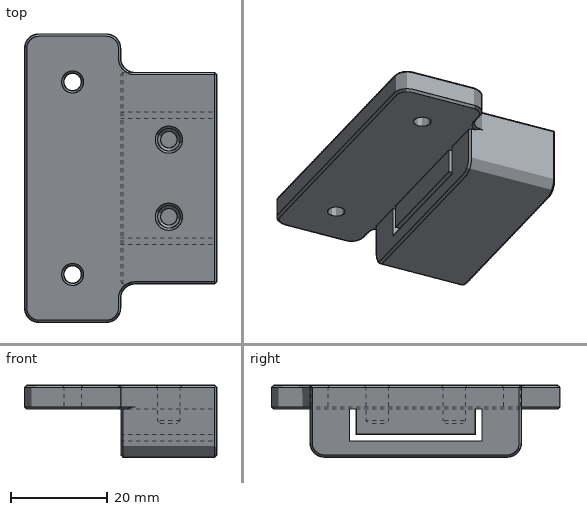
import cadquery as cq

length_x = 40.0
flange_y = 60.0
height = 15.0
plate_thickness = height / 3
block_y = 44.0
block_start_x = length_x / 2
corner_radius = 3.0
edge_chamfer = 0.5

slot_outer_y = 27.5
slot_depth = 11.6
slot_gap = 1.3
tongue_y = slot_outer_y - 2 * slot_gap
tongue_depth = slot_depth - slot_gap

screw_hole_diameter = 3.6
screw_hole_chamfer = 0.5
screw_hole_x = length_x / 4
screw_hole_spacing = 40.0

insert_diameter = 4.7
insert_floor_diameter = 3.4
insert_chamfer = 0.5
insert_depth = 8.0
insert_x = length_x * 3 / 4
insert_spacing = 16.0


def box(x_start, x_end, width, z_bottom, z_top):
    """Box centred on Y between the given X and Z limits."""
    size_x = x_end - x_start
    size_z = z_top - z_bottom
    solid = cq.Workplane("XY").box(size_x, width, size_z, centered=(False, True, False))
    return solid.translate((x_start, 0, z_bottom))


def make_plate():
    flange = box(0, block_start_x, flange_y, -plate_thickness, 0)
    neck = box(0, length_x, block_y, -plate_thickness, 0)
    plate = flange.union(neck)
    plate = plate.edges("|Z").edges("not(>X)").fillet(corner_radius)
    plate = plate.edges("|Z and >X").chamfer(edge_chamfer)
    return plate.faces("<Z or >Z").edges().chamfer(edge_chamfer)


def make_block():
    block = box(block_start_x, length_x, block_y, -height, 0)
    block = block.edges("|X and <Z").fillet(corner_radius)
    block = block.faces("<X or >X").edges().chamfer(edge_chamfer)
    return block.edges("|X and >Z").chamfer(edge_chamfer)


def make_slot():
    opening = box(block_start_x, length_x, slot_outer_y, -slot_depth, -plate_thickness)
    tongue = box(block_start_x, length_x, tongue_y, -tongue_depth, -plate_thickness)
    return opening.cut(tongue)


def hole_cutter(diameter, depth, mouth_chamfer):
    """Round cutter going down from Z = 0, flared at its mouth."""
    radius = diameter / 2
    shaft = cq.Workplane("XY").circle(radius).extrude(-depth)
    flare = cq.Solid.makeCone(
        radius + mouth_chamfer, radius, mouth_chamfer,
        pnt=cq.Vector(0, 0, 0), dir=cq.Vector(0, 0, -1),
    )
    return shaft.union(cq.Workplane(flare))


def make_insert_cutter():
    """Blind hole cutter whose floor edge is bevelled down to a smaller flat."""
    floor_bevel = (insert_diameter - insert_floor_diameter) / 2
    cutter = hole_cutter(insert_diameter, insert_depth, insert_chamfer)
    return cutter.faces("<Z").edges().chamfer(floor_bevel)


screw_cutter = hole_cutter(screw_hole_diameter, plate_thickness, screw_hole_chamfer)
insert_cutter = make_insert_cutter()

result = make_plate().union(make_block()).cut(make_slot())
for side in (-1, 1):
    result = result.cut(screw_cutter.translate((screw_hole_x, side * screw_hole_spacing / 2, 0)))
    result = result.cut(insert_cutter.translate((insert_x, side * insert_spacing / 2, 0)))